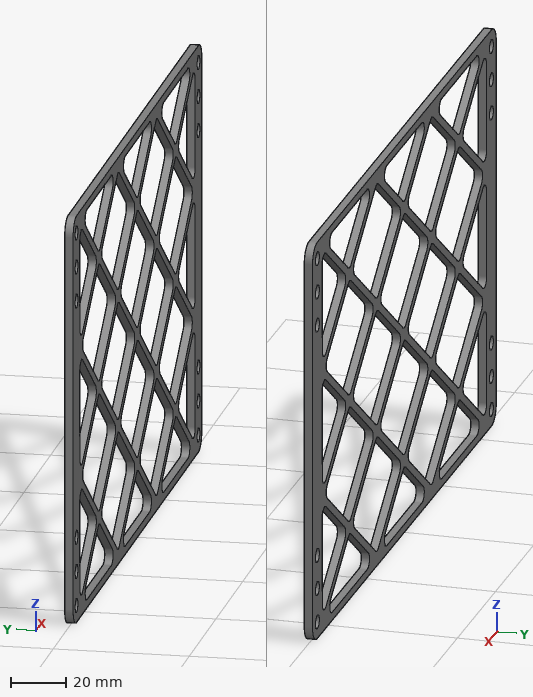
import cadquery as cq
import math

length = 241.3
height = 152.5
thickness = 3.1
corner_radius = 6.3

side_border = 12.8
end_border = 3.1
columns = 3
rows = 3
strut_width = 3.1
window_radius = 3.1
window_length = length - 2 * side_border
window_height = height - 2 * end_border
half_cell_x = window_length / columns / 2
half_cell_z = window_height / rows / 2

hole_diameter = 5.0
holes_per_corner = 3
hole_pitch = side_border
hole_inset = side_border / 2

strut_angle = math.atan2(half_cell_z, half_cell_x)
opening_x = half_cell_x - strut_width / 2 / math.sin(strut_angle)
opening_z = half_cell_z - strut_width / 2 / math.cos(strut_angle)


def make_plate():
    plate = cq.Workplane("XY").box(length, thickness, height)
    return plate.edges("|Y").fillet(corner_radius)


def cell_centres():
    """Centres of the staggered cells, including those halved by the border."""
    return [
        (i * half_cell_x - window_length / 2, j * half_cell_z - window_height / 2)
        for i in range(2 * columns + 1)
        for j in range(2 * rows + 1)
        if (i + j) % 2 == 1
    ]


def make_opening(x, z):
    """Diamond opening trimmed to the window area, with rounded corners."""
    corners = [
        (x - opening_x, z),
        (x, z + opening_z),
        (x + opening_x, z),
        (x, z - opening_z),
    ]
    diamond = (
        cq.Workplane("XZ")
        .polyline(corners)
        .close()
        .extrude(thickness, both=True)
    )
    window = cq.Workplane("XY").box(window_length, thickness, window_height)
    return diamond.intersect(window).edges("|Y").fillet(window_radius)


def make_holes():
    points = []
    for side in (-1, 1):
        for end in (-1, 1):
            for k in range(holes_per_corner):
                x = side * (length / 2 - hole_inset)
                z = end * (height / 2 - hole_inset - k * hole_pitch)
                points.append((x, z))
    return (
        cq.Workplane("XZ")
        .pushPoints(points)
        .circle(hole_diameter / 2)
        .extrude(thickness, both=True)
    )


result = make_plate().cut(make_holes())
for centre_x, centre_z in cell_centres():
    result = result.cut(make_opening(centre_x, centre_z))